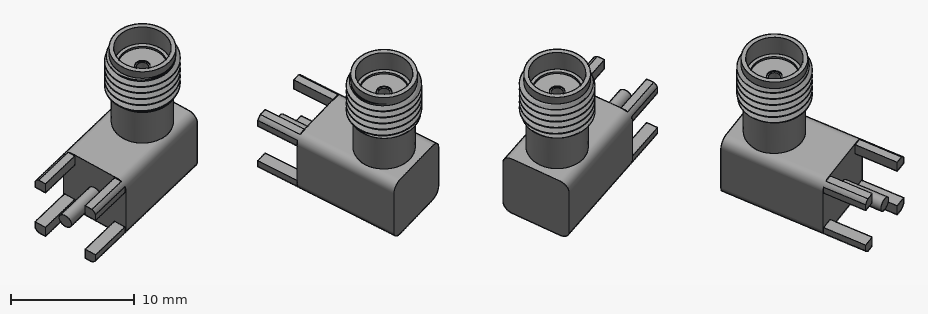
import cadquery as cq


body_width = 6.35
body_length = 9.54
corner_radius = 0.89
body_back_y = body_width / 2
body_front_y = body_back_y - body_length
body_center_z = body_width / 2

pin_length = 3.92
corner_pin_side = 1.05
corner_pin_inset = 0.1
contact_diameter = 1.26

total_height = 14.86
neck_diameter = 5.05
rim_diameter = 5.4
thread_bottom_z = 10.1
thread_top_z = 14.1

thread_diameter = 6.12
first_crest_z = 10.76
last_crest_z = 13.58
turns_between_crests = 4
thread_pitch = (last_crest_z - first_crest_z) / turns_between_crests
ridge_base_width = 0.52
ridge_crest_width = 0.07
ridge_overlap = 0.07
run_out_turns = 2
envelope_diameter = 6.54

socket_diameter = 4.64
socket_depth = 1.95
insulator_diameter = 4.01
insulator_recess = 0.2
contact_recess = 0.1
contact_hole_diameter = 1.0
contact_hole_depth = 2.0


def cylinder(diameter, bottom_z, top_z):
    """Cylinder on the barrel axis."""
    height = top_z - bottom_z
    return cq.Workplane("XY").workplane(offset=bottom_z).circle(diameter / 2).extrude(height)


def rounded_block(front_y, back_y):
    """Square block along Y with its four long edges rounded."""
    return (
        cq.Workplane("XY")
        .box(body_width, back_y - front_y, body_width)
        .edges("|Y")
        .fillet(corner_radius)
        .translate((0, (front_y + back_y) / 2, body_center_z))
    )


def make_pins():
    """Four corner pins, trimmed to the rounded body outline, and the center contact."""
    spacing = body_width - 2 * corner_pin_inset - corner_pin_side
    face = cq.Workplane("XZ", origin=(0, body_front_y, body_center_z))
    corner_pins = (
        face.rarray(spacing, spacing, 2, 2)
        .rect(corner_pin_side, corner_pin_side)
        .extrude(pin_length)
        .intersect(rounded_block(body_front_y - pin_length, body_front_y))
    )
    contact = face.circle(contact_diameter / 2).extrude(pin_length)
    return corner_pins.union(contact)


def make_thread():
    """Right-hand helical ridge, trimmed by 45 degree chamfers at both thread ends."""
    core_radius = rim_diameter / 2
    crest_radius = thread_diameter / 2
    root_radius = core_radius - ridge_overlap
    start_z = first_crest_z - run_out_turns * thread_pitch
    turns = turns_between_crests + 2 * run_out_turns
    flank_run = (ridge_base_width - ridge_crest_width) / 2
    flank_slope = flank_run / (crest_radius - core_radius)
    half_root = ridge_base_width / 2 + flank_slope * ridge_overlap
    half_crest = ridge_crest_width / 2

    path = cq.Wire.makeHelix(thread_pitch, turns * thread_pitch, root_radius)
    ridge = (
        cq.Workplane("XZ")
        .polyline([
            (root_radius, -half_root),
            (crest_radius, -half_crest),
            (crest_radius, half_crest),
            (root_radius, half_root),
        ])
        .close()
        .sweep(cq.Workplane(path), isFrenet=True)
        .translate((0, 0, start_z))
    )
    envelope = cylinder(envelope_diameter, thread_bottom_z, thread_top_z)
    envelope = envelope.edges().chamfer(envelope_diameter / 2 - core_radius)
    return ridge.intersect(envelope)


def make_socket():
    """Stepped bore: socket, insulator recess, contact recess and contact hole."""
    socket_floor_z = total_height - socket_depth
    insulator_z = socket_floor_z - insulator_recess
    contact_z = insulator_z - contact_recess
    hole_floor_z = contact_z - contact_hole_depth
    return (
        cylinder(socket_diameter, socket_floor_z, total_height)
        .union(cylinder(insulator_diameter, insulator_z, socket_floor_z))
        .union(cylinder(contact_diameter, contact_z, insulator_z))
        .union(cylinder(contact_hole_diameter, hole_floor_z, contact_z))
    )


body = rounded_block(body_front_y, body_back_y)
neck = cylinder(neck_diameter, body_center_z, thread_bottom_z)
core = cylinder(rim_diameter, thread_bottom_z, total_height)
barrel = core.union(make_thread()).union(neck).cut(make_socket())

result = body.union(barrel).union(make_pins())